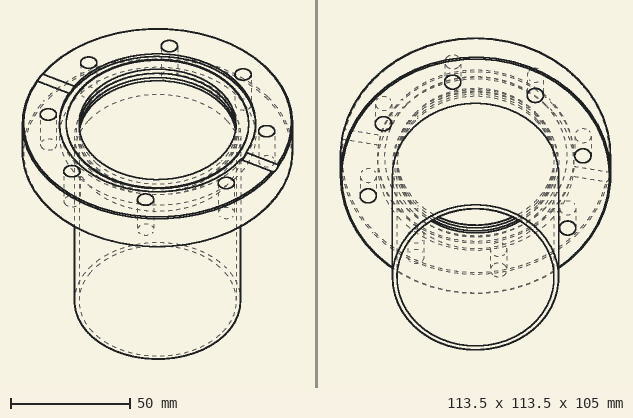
import cadquery as cq
import math

total_height = 105.0

ring_diameter = 113.5
ring_thickness = 17.6
edge_chamfer = 0.6
bolt_circle = 92.2
bolt_hole_diameter = 6.8
bolt_count = 8

slot_width = 4.8
slot_depth = 0.8
slot_radius = ((slot_width / 2) ** 2 + slot_depth ** 2) / (2 * slot_depth)

insert_diameter = 82.4
insert_bottom_depth = 7.7
knife_diameter = 76.6
knife_tip_depth = 0.5
knife_slope = 20.0
floor_depth = 0.9
groove_depth = 4.7
groove_radius = 1.2

tube_diameter = 69.8
bore_diameter = 66.0


def disc(diameter, top, bottom):
    """Upright cylinder on the Z axis between two heights."""
    return cq.Workplane("XY").workplane(offset=bottom).circle(diameter / 2).extrude(top - bottom)


def make_bolt_ring():
    ring = disc(ring_diameter, 0, -ring_thickness).edges().chamfer(edge_chamfer)
    ring = ring.cut(disc(insert_diameter, 0, -insert_bottom_depth))
    ring = ring.cut(disc(tube_diameter, -insert_bottom_depth, -ring_thickness))

    bolt_holes = (
        cq.Workplane("XY")
        .polarArray(bolt_circle / 2, 180 / bolt_count, 360, bolt_count)
        .circle(bolt_hole_diameter / 2)
        .extrude(-ring_thickness)
    )
    ring = ring.cut(bolt_holes)

    slot_cutter = (
        cq.Workplane("YZ")
        .center(0, slot_radius - slot_depth)
        .circle(slot_radius)
        .extrude(ring_diameter / 2, both=True)
    )
    return ring.cut(slot_cutter)


def make_insert():
    outer = insert_diameter / 2
    inner = bore_diameter / 2
    knife = knife_diameter / 2
    shoulder_depth = knife_tip_depth + (outer - knife) * math.tan(math.radians(knife_slope))
    profile = (
        cq.Workplane("XZ")
        .moveTo(inner, -insert_bottom_depth)
        .lineTo(outer, -insert_bottom_depth)
        .lineTo(outer, -shoulder_depth)
        .lineTo(knife, -knife_tip_depth)
        .lineTo(knife, -floor_depth)
        .lineTo(inner, -floor_depth)
        .lineTo(inner, -groove_depth + groove_radius)
        .threePointArc((inner + groove_radius, -groove_depth), (inner, -groove_depth - groove_radius))
        .close()
    )
    return profile.revolve(360, (0, 0, 0), (0, 1, 0))


def make_tube():
    tube = disc(tube_diameter, -insert_bottom_depth, -total_height)
    return tube.cut(disc(bore_diameter, -insert_bottom_depth, -total_height))


bolt_ring = make_bolt_ring()
insert = make_insert()
tube = make_tube()

result = cq.Compound.makeCompound([bolt_ring.val(), insert.val(), tube.val()])